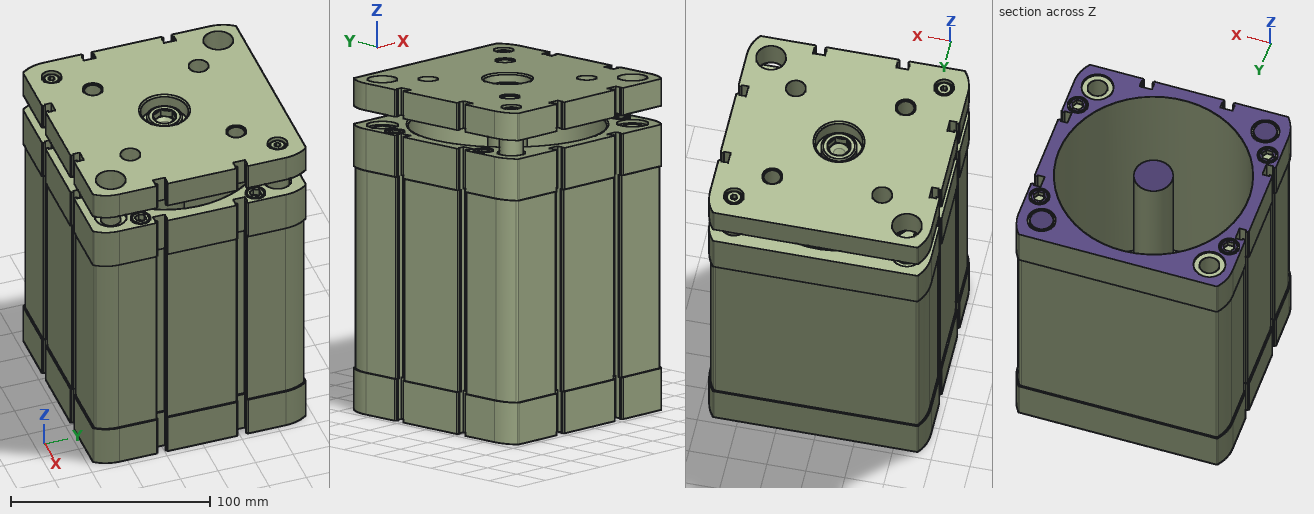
import cadquery as cq
import math

WIDTH = 113.5
HEIGHT = 170.8
PLATE_THICK = 14.0
PLATE_GAP = 9.5
CAP_HEIGHT = 21.5
PROFILE_INSET = 0.9
HALF = WIDTH / 2
PLATE_BOTTOM = HEIGHT - PLATE_THICK
HOUSING_TOP = PLATE_BOTTOM - PLATE_GAP

FLAT_HALF = 44.4
CORNER_RADIUS = 20.0
CAP_EDGE_RADIUS = 0.9
PROFILE_EDGE_RADIUS = 1.5

SLOT_OFFSET = 21.4
SLOT_OPENING = 4.6
SLOT_WIDTH = 6.3
SLOT_DEPTH = 5.1
SLOT_LIP = 1.7
SLOT_CHAMFER = 0.7

CORNER_OFFSET = 44.4
GUIDE_DIAMETER = 12.0
GUIDE_SEAT_DIAMETER = 14.0
CORNER_SEAT_DEPTH = 1.7
MOUNT_ACCESS_DIAMETER = 15.0
MOUNT_SEAT_DIAMETER = 15.9
THREAD_DIAMETER = 10.0
THREAD_CORE_DIAMETER = 8.5
THREAD_DEPTH = 20.5

BORE_DIAMETER = 100.0
BORE_CHAMFER = 0.9
ROD_DIAMETER = 20.0
ROD_FLAT_WIDTH = 17.0
ROD_COLLAR = 2.2
ROD_FLAT_RUNOUT = 0.7

CENTRE_RECESS_DIAMETER = 24.0
CENTRE_RECESS_DEPTH = 8.5
CENTRE_RECESS_CHAMFER = 0.9
ROD_END_DIAMETER = 18.0
ROD_END_TOP_DIAMETER = 15.9
ROD_END_CHAMFER = 0.5
ROD_END_DROP = 3.8
ROD_SOCKET_SIZE = 12.0
ROD_SOCKET_LEAD_DIAMETER = 10.8
ROD_SOCKET_DEPTH = 4.3
ROD_CORE_DIAMETER = 6.0
ROD_CONE_SLOPE = 30.0
ROD_CORE_SLOPE = 40.0

PLATE_HOLE_OFFSET = 28.2
SCREW_POCKET_DIAMETER = 10.0
SCREW_POCKET_DEPTH = 1.7
SCREW_HEAD_DIAMETER = 8.4
PLATE_SCREW_CHAMFER = 0.7
SOCKET_DEPTH = 3.5
PLATE_SCREW_DROP = 0.9
PLATE_SOCKET_SIZE = 3.5
CAP_SCREW_X = 50.2
CAP_SCREW_Y = 30.5
CAP_SOCKET_SIZE = 6.0

RISING_DIAGONAL = [(1, 1), (-1, -1)]
FALLING_DIAGONAL = [(-1, 1), (1, -1)]


def diagonal_points(offset, corners):
    return [(offset * x, offset * y) for x, y in corners]


def cylinder(points, diameter, bottom, top):
    """Upright cylinders between two heights, one at each point."""
    return cq.Workplane("XY", origin=(0, 0, bottom)).pushPoints(points).circle(diameter / 2).extrude(top - bottom)


def cone(bottom_radius, top_radius, bottom, top):
    """Upright cone on the Z axis between two heights."""
    return cq.Workplane(cq.Solid.makeCone(bottom_radius, top_radius, top - bottom, cq.Vector(0, 0, bottom)))


def square_block(half, edge_radius, bottom, top):
    """Block with straight sides and a large arc at each corner, tangent to the X side only."""
    rise = half - FLAT_HALF
    end_angle = math.asin(rise / CORNER_RADIUS)

    def arc_point(sx, sy, angle):
        x = half - CORNER_RADIUS * (1 - math.cos(angle))
        y = FLAT_HALF + CORNER_RADIUS * math.sin(angle)
        return sx * x, sy * y

    outline = cq.Workplane("XY", origin=(0, 0, bottom)).moveTo(half, -FLAT_HALF).lineTo(half, FLAT_HALF)
    outline = outline.threePointArc(arc_point(1, 1, end_angle / 2), arc_point(1, 1, end_angle))
    outline = outline.lineTo(*arc_point(-1, 1, end_angle))
    outline = outline.threePointArc(arc_point(-1, 1, end_angle / 2), (-half, FLAT_HALF))
    outline = outline.lineTo(-half, -FLAT_HALF)
    outline = outline.threePointArc(arc_point(-1, -1, end_angle / 2), arc_point(-1, -1, end_angle))
    outline = outline.lineTo(*arc_point(1, -1, end_angle))
    outline = outline.threePointArc(arc_point(1, -1, end_angle / 2), (half, -FLAT_HALF))
    block = outline.close().extrude(top - bottom)
    sharp_edges = block.faces("<Y or >Y").edges("|Z")
    return sharp_edges.fillet(edge_radius)


def sensor_slots(half, bottom, top):
    """Undercut slots with a chamfered opening: two on each X side and two on the -Y side."""
    mouth = SLOT_OPENING / 2
    outline = [
        (mouth + SLOT_CHAMFER, 0),
        (mouth, SLOT_CHAMFER),
        (mouth, SLOT_LIP),
        (SLOT_WIDTH / 2, SLOT_LIP),
        (SLOT_WIDTH / 2, SLOT_DEPTH),
    ]
    outline += [(-x, y) for x, y in reversed(outline)]
    slots = cq.Workplane("XY")
    for turn in (0, 90, -90):
        for offset in (-SLOT_OFFSET, SLOT_OFFSET):
            slot = cq.Workplane("XY").polyline(outline).close().extrude(top - bottom)
            slot = slot.translate((offset, -half, bottom))
            slots = slots.add(slot.rotate((0, 0, 0), (0, 0, 1), turn))
    return slots.combine()


def socket_screws(points, pocket_top, drop, socket_size, head_chamfer=0):
    """Cutter for a row of screws: the clearance over and around each head, and its hexagon socket."""
    head_top = pocket_top - drop
    pocket_floor = head_top - SCREW_POCKET_DEPTH
    around = cylinder(points, SCREW_POCKET_DIAMETER, pocket_floor, pocket_top)
    heads = cylinder(points, SCREW_HEAD_DIAMETER, pocket_floor, head_top)
    if head_chamfer:
        heads = heads.faces(">Z").edges().chamfer(head_chamfer)
    sockets = (
        cq.Workplane("XY", origin=(0, 0, head_top)).pushPoints(points).polygon(6, socket_size).extrude(-SOCKET_DEPTH)
    )
    return around.cut(heads).union(sockets)


def slotted_block(half, edge_radius, bottom, top):
    block = square_block(half, edge_radius, bottom, top)
    return block.cut(sensor_slots(half, bottom, top))


def make_housing():
    profile_top = HOUSING_TOP - CAP_HEIGHT
    body = slotted_block(HALF, CAP_EDGE_RADIUS, 0, CAP_HEIGHT)
    body = body.union(slotted_block(HALF - PROFILE_INSET, PROFILE_EDGE_RADIUS, CAP_HEIGHT, profile_top))
    body = body.union(slotted_block(HALF, CAP_EDGE_RADIUS, profile_top, HOUSING_TOP))

    body = body.cut(cylinder([(0, 0)], BORE_DIAMETER, CAP_HEIGHT, HOUSING_TOP))
    body = body.faces(">Z").edges(cq.selectors.RadiusNthSelector(-1)).chamfer(BORE_CHAMFER)

    seat_floor = HOUSING_TOP - CORNER_SEAT_DEPTH
    guides = diagonal_points(CORNER_OFFSET, RISING_DIAGONAL)
    body = body.cut(cylinder(guides, GUIDE_DIAMETER, CAP_HEIGHT, HOUSING_TOP))
    body = body.cut(cylinder(guides, GUIDE_SEAT_DIAMETER, seat_floor, HOUSING_TOP))

    mounts = diagonal_points(CORNER_OFFSET, FALLING_DIAGONAL)
    body = body.cut(cylinder(mounts, THREAD_CORE_DIAMETER, 0, HOUSING_TOP))
    body = body.cut(cylinder(mounts, THREAD_DIAMETER, seat_floor - THREAD_DEPTH, HOUSING_TOP))
    body = body.cut(cylinder(mounts, MOUNT_SEAT_DIAMETER, seat_floor, HOUSING_TOP))

    cap_screws = [(x, y) for x in (-CAP_SCREW_X, CAP_SCREW_X) for y in (-CAP_SCREW_Y, CAP_SCREW_Y)]
    return body.cut(socket_screws(cap_screws, HOUSING_TOP, 0, CAP_SOCKET_SIZE))


def make_piston_rod():
    """Rod from the bore floor to the plate, with two wrench flats facing -Y and +Y."""
    rod = cylinder([(0, 0)], ROD_DIAMETER, CAP_HEIGHT, PLATE_BOTTOM)
    flat_bottom = HOUSING_TOP + ROD_COLLAR
    flat_y = ROD_FLAT_WIDTH / 2
    rod_radius = ROD_DIAMETER / 2
    flat_cut = (
        cq.Workplane("YZ")
        .moveTo(flat_y, PLATE_BOTTOM)
        .lineTo(flat_y, flat_bottom)
        .lineTo(rod_radius, flat_bottom - ROD_FLAT_RUNOUT)
        .lineTo(rod_radius, PLATE_BOTTOM)
        .close()
        .extrude(rod_radius, both=True)
    )
    return rod.cut(flat_cut).cut(flat_cut.mirror("XZ"))


def rod_end_socket(top):
    """Hexagon socket with countersunk corners and a floor of two cones."""
    hexagon = cq.Workplane("XY", origin=(0, 0, top)).polygon(6, ROD_SOCKET_SIZE).extrude(-ROD_SOCKET_DEPTH)
    lead = (ROD_SOCKET_SIZE - ROD_SOCKET_LEAD_DIAMETER) / 2
    lead_radius = ROD_SOCKET_LEAD_DIAMETER / 2
    countersink = cone(lead_radius, lead_radius + lead, top - lead, top)

    cone_radius = ROD_SOCKET_SIZE / 2 * math.cos(math.pi / 6)
    core_radius = ROD_CORE_DIAMETER / 2
    cone_top = top - ROD_SOCKET_DEPTH
    core_top = cone_top - (cone_radius - core_radius) * math.tan(math.radians(ROD_CONE_SLOPE))
    core_tip = core_top - core_radius * math.tan(math.radians(ROD_CORE_SLOPE))
    floor = cone(core_radius, cone_radius, core_top, cone_top).union(cone(0, core_radius, core_tip, core_top))
    return hexagon.union(countersink).union(floor)


def cut_plate_centre(plate):
    """Round recess in the plate with the end of the piston rod standing in it."""
    centre = [(0, 0)]
    recess_floor = HEIGHT - CENTRE_RECESS_DEPTH
    recess_radius = CENTRE_RECESS_DIAMETER / 2
    rim_radius = recess_radius + CENTRE_RECESS_CHAMFER
    plate = plate.cut(cylinder(centre, CENTRE_RECESS_DIAMETER, recess_floor, HEIGHT))
    plate = plate.cut(cone(recess_radius, rim_radius, HEIGHT - CENTRE_RECESS_CHAMFER, HEIGHT))

    rod_end_top = HEIGHT - ROD_END_DROP
    shoulder = rod_end_top - ROD_END_CHAMFER
    rod_end = cylinder(centre, ROD_END_DIAMETER, recess_floor, shoulder)
    rod_end = rod_end.union(cone(ROD_END_DIAMETER / 2, ROD_END_TOP_DIAMETER / 2, shoulder, rod_end_top))
    return plate.union(rod_end).cut(rod_end_socket(rod_end_top))


def make_slide():
    """Plate with its piston rod and two guide rods, moving as one body."""
    plate = slotted_block(HALF, CAP_EDGE_RADIUS, PLATE_BOTTOM, HEIGHT)
    plate = cut_plate_centre(plate)

    mounts = diagonal_points(CORNER_OFFSET, FALLING_DIAGONAL)
    plate = plate.cut(cylinder(mounts, MOUNT_ACCESS_DIAMETER, PLATE_BOTTOM, HEIGHT))
    plain_holes = diagonal_points(PLATE_HOLE_OFFSET, FALLING_DIAGONAL)
    plate = plate.cut(cylinder(plain_holes, THREAD_DIAMETER, PLATE_BOTTOM, HEIGHT))
    threaded_holes = diagonal_points(PLATE_HOLE_OFFSET, RISING_DIAGONAL)
    thread_lead = (THREAD_DIAMETER - THREAD_CORE_DIAMETER) / 2
    plate = plate.cut(cylinder(threaded_holes, THREAD_CORE_DIAMETER, PLATE_BOTTOM, HEIGHT))
    plate = plate.cut(cylinder(threaded_holes, THREAD_DIAMETER, HEIGHT - thread_lead, HEIGHT))

    guides = diagonal_points(CORNER_OFFSET, RISING_DIAGONAL)
    slide = plate.union(make_piston_rod())
    slide = slide.union(cylinder(guides, GUIDE_DIAMETER, CAP_HEIGHT, PLATE_BOTTOM))
    return slide.cut(socket_screws(guides, HEIGHT, PLATE_SCREW_DROP, PLATE_SOCKET_SIZE, PLATE_SCREW_CHAMFER))


housing = make_housing()
slide = make_slide()
result = cq.Compound.makeCompound([housing.solids().val(), slide.solids().val()])